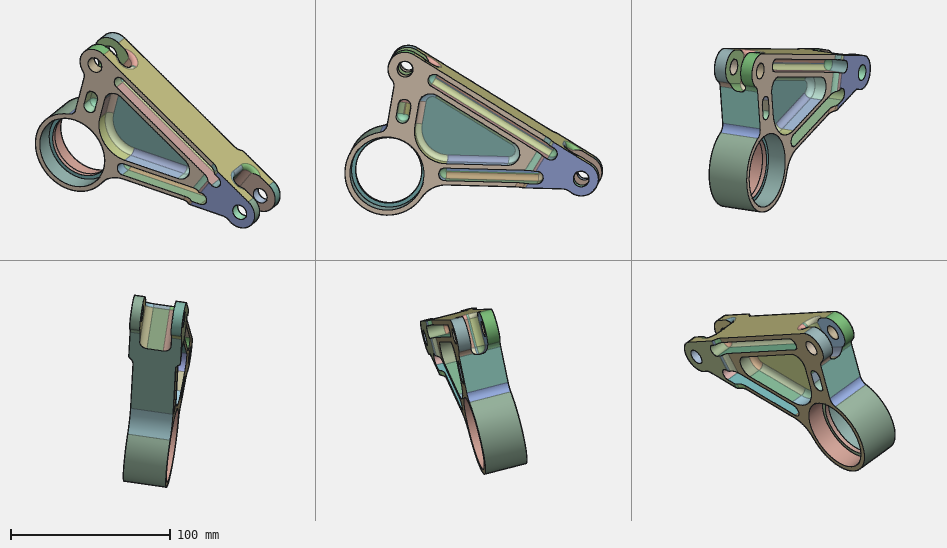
import cadquery as cq
import math

HEADING = 29.0
TILT = 9.0

HUB_RADIUS = 26.5
HUB_THICKNESS = 27.0
BEARING_RADIUS = 23.3
BEARING_DEPTH = 12.0
LIP_RADIUS = 20.9

UPPER_PIN = (10.5, 66.7)
TIP_PIN = (122.6, 0.3)
LUG_RADIUS = 10.8
PIN_RADIUS = 5.0
TIP_THICKNESS = 32.9

STRUT_EDGE = 5.1
BOTTOM_EDGE = 6.3
STRUT_FILLET = 5.4
HUB_BOTTOM_FILLET = 18.5
TIP_FILLET = 7.7

STEP_START = 32.7
STEP_INNER_RADIUS = 5.4
STEP_OUTER_RADIUS = 2.2

RECESS_DEPTH = 11.6
RECESS_FILLET = 3.7
GROOVE_RADIUS = 4.0
POCKET_STRUT_OFFSET = 12.2
POCKET_SLANT_OFFSET = 3.5
POCKET_FLOOR_HEIGHT = 7.3
POCKET_HUB_CORNER = 20.4
POCKET_CORNER = 7.7
STRUT_SLOT_DISTANCE = 41.0
STRUT_SLOT_LENGTH = 15.3
SLANT_GROOVE_START = 19.5
SLANT_GROOVE_END = 105.8
BOTTOM_GROOVE_START = 36.6
BOTTOM_GROOVE_END = 94.7

UPPER_GAP = 10.8
UPPER_GAP_REACH = 16.0
UPPER_GAP_DEPTH = 25.6
UPPER_GAP_FILLET = 4.5
TIP_GAP = 20.0
TIP_GAP_REACH = 18.4
GAP_CORNER = 4.8
GAP_RIM_FILLET = 3.0

CLEAR = 46.3

TOUCH = 0.002
RIM_SAMPLES = [0, 0.3, 0.6]

half_hub = HUB_THICKNESS / 2
half_tip = TIP_THICKNESS / 2
recess_height = half_tip - half_hub + RECESS_DEPTH
strut_length = math.hypot(*UPPER_PIN)
strut_angle = math.degrees(math.atan2(UPPER_PIN[1], UPPER_PIN[0]))
slant_length = math.dist(UPPER_PIN, TIP_PIN)
slant_angle = math.degrees(math.atan2(TIP_PIN[1] - UPPER_PIN[1], TIP_PIN[0] - UPPER_PIN[0]))


def along(origin, angle, distance, offset=0.0):
    """Point at a distance along a direction and an offset to its left."""
    cosine = math.cos(math.radians(angle))
    sine = math.sin(math.radians(angle))
    x = origin[0] + distance * cosine - offset * sine
    z = origin[1] + distance * sine + offset * cosine
    return (x, z)


def strut_point(distance, offset=0.0):
    """Point measured from the hub centre toward the upper pin."""
    return along((0, 0), strut_angle, distance, offset)


def slant_point(distance, offset=0.0):
    """Point measured from the upper pin toward the tip pin."""
    return along(UPPER_PIN, slant_angle, distance, offset)


def meet(p, p_angle, q, q_angle):
    """Crossing point of two lines, each given by a point and a direction."""
    a = math.radians(p_angle)
    b = math.radians(q_angle)
    t = ((q[0] - p[0]) * math.sin(b) - (q[1] - p[1]) * math.cos(b)) / math.sin(b - a)
    return (p[0] + t * math.cos(a), p[1] + t * math.sin(a))


def face_plane(y):
    """Workplane looking square at the bracket, extruding toward -Y."""
    return cq.Workplane("XZ", origin=(0, y, 0))


def disc(center, radius, thickness):
    return face_plane(thickness / 2).center(*center).circle(radius).extrude(thickness)


def fillet_at(body, point, radius):
    """Round the edge across the thickness that passes through an (x, z) point."""
    x, z = point
    edge = cq.selectors.NearestToPointSelector((x, 0, z))
    return body.edges("|Y").edges(edge).fillet(radius)


def make_blank():
    """Full-thickness outline: hub, two lugs and the arms joining them."""
    strut_hub = strut_point(math.sqrt(HUB_RADIUS**2 - STRUT_EDGE**2), STRUT_EDGE)
    strut_lug = strut_point(strut_length - math.sqrt(LUG_RADIUS**2 - STRUT_EDGE**2), STRUT_EDGE)
    hub_bottom = (math.sqrt(HUB_RADIUS**2 - BOTTOM_EDGE**2), -BOTTOM_EDGE)
    tip_drop = BOTTOM_EDGE + TIP_PIN[1]
    tip_bottom = (TIP_PIN[0] - math.sqrt(LUG_RADIUS**2 - tip_drop**2), -BOTTOM_EDGE)
    outline = [
        (0, 0),
        hub_bottom,
        tip_bottom,
        TIP_PIN,
        slant_point(slant_length, LUG_RADIUS),
        slant_point(0, LUG_RADIUS),
        UPPER_PIN,
        strut_lug,
        strut_hub,
    ]
    body = face_plane(half_tip).polyline(outline).close().extrude(TIP_THICKNESS)
    body = body.union(disc((0, 0), HUB_RADIUS, TIP_THICKNESS))
    for pin in (UPPER_PIN, TIP_PIN):
        body = body.union(disc(pin, LUG_RADIUS, TIP_THICKNESS))
    body = fillet_at(body, strut_hub, STRUT_FILLET)
    body = fillet_at(body, strut_lug, STRUT_FILLET)
    body = fillet_at(body, hub_bottom, HUB_BOTTOM_FILLET)
    return fillet_at(body, tip_bottom, TIP_FILLET)


def slant_plane(distance, offset):
    """Workplane parallel to the slanted face: local x along the slant, local y toward +Y."""
    x, z = slant_point(distance, offset)
    direction = along((0, 0), slant_angle, 1)
    normal = along((0, 0), slant_angle, 0, 1)
    return cq.Workplane(
        cq.Plane((x, 0, z), (direction[0], 0, direction[1]), (normal[0], 0, normal[1]))
    )


def step_cutter():
    """Removes the extra tip thickness from the +Y face, ending in an S-shaped step."""
    rise = half_tip - half_hub
    total = STEP_INNER_RADIUS + STEP_OUTER_RADIUS
    sweep = math.acos(1 - rise / total)

    def inner(angle):
        return (
            STEP_INNER_RADIUS * math.sin(angle),
            half_hub + STEP_INNER_RADIUS * (1 - math.cos(angle)),
        )

    def outer(angle):
        return (
            total * math.sin(sweep) - STEP_OUTER_RADIUS * math.sin(angle),
            half_tip - STEP_OUTER_RADIUS * (1 - math.cos(angle)),
        )

    end = outer(0)
    back = -slant_length - CLEAR
    reach_down = 4 * CLEAR
    return (
        slant_plane(slant_length - STEP_START, CLEAR)
        .moveTo(back, half_hub)
        .lineTo(0, half_hub)
        .threePointArc(inner(sweep / 2), inner(sweep))
        .threePointArc(outer(sweep / 2), end)
        .lineTo(end[0], half_tip + CLEAR)
        .lineTo(back, half_tip + CLEAR)
        .close()
        .extrude(-reach_down)
    )


def on_both_faces(cutter):
    return cutter.union(cutter.mirror("XZ"))


def recess_plane():
    """Workplane at the recess floor; a recess cutter rises from it past the -Y face."""
    return face_plane(RECESS_DEPTH - half_hub)


def round_floor(cutter):
    return cutter.faces(">Y").edges().fillet(RECESS_FILLET)


def groove(center, length, angle):
    outline = recess_plane().center(*center).transformed(rotate=(0, 0, angle))
    return round_floor(outline.slot2D(length, 2 * GROOVE_RADIUS).extrude(recess_height))


def groove_between(start, end, angle):
    center = ((start[0] + end[0]) / 2, (start[1] + end[1]) / 2)
    return groove(center, math.dist(start, end) + 2 * GROOVE_RADIUS, angle)


def pocket():
    """Triangular pocket between the strut, the slanted arm and the bottom arm."""
    left = strut_point(0, -POCKET_STRUT_OFFSET)
    top = slant_point(0, -POCKET_SLANT_OFFSET)
    floor = (0, POCKET_FLOOR_HEIGHT)
    hub_corner = meet(left, strut_angle, floor, 0)
    tip_corner = meet(floor, 0, top, slant_angle)
    upper_corner = meet(top, slant_angle, left, strut_angle)
    body = recess_plane().polyline([hub_corner, tip_corner, upper_corner]).close().extrude(recess_height)
    body = fillet_at(body, hub_corner, POCKET_HUB_CORNER)
    for corner in (tip_corner, upper_corner):
        body = fillet_at(body, corner, POCKET_CORNER)
    return round_floor(body)


def cut_recesses(body):
    slant_mid = (LUG_RADIUS - POCKET_SLANT_OFFSET) / 2
    bottom_mid = (POCKET_FLOOR_HEIGHT - BOTTOM_EDGE) / 2
    strut_mid = (STRUT_EDGE - POCKET_STRUT_OFFSET) / 2
    slant_start = slant_point(SLANT_GROOVE_START, slant_mid)
    slant_end = slant_point(SLANT_GROOVE_END, slant_mid)
    cutters = [
        pocket(),
        groove_between(slant_start, slant_end, slant_angle),
        groove_between((BOTTOM_GROOVE_START, bottom_mid), (BOTTOM_GROOVE_END, bottom_mid), 0),
        groove(strut_point(STRUT_SLOT_DISTANCE, strut_mid), STRUT_SLOT_LENGTH, strut_angle),
    ]
    for cutter in cutters:
        body = body.cut(on_both_faces(cutter))
    return body


def fillet_rim(body, frame):
    """Rounds the edge of a gap end where it opens through the slanted face."""

    def is_rim(edge):
        points = [frame.toLocalCoords(p) for p in edge.positions(RIM_SAMPLES)]
        in_face = all(abs(p.z) < TOUCH for p in points)
        around_end = all(abs(p.x) < GAP_CORNER + TOUCH and abs(p.y) < half_hub - TOUCH for p in points)
        return in_face and around_end

    return body.edges().filter(is_rim).fillet(GAP_RIM_FILLET)


def cut_gap(body, center, outward, width, depth, floor_fillet=0.0):
    """Cuts a clevis gap: its end first, with a rounded rim, then the run out through the lugs.

    center is the distance along the slant to the corner centres of the gap end, and
    outward is +1 or -1 for the way the gap opens.
    """
    end = slant_plane(center, LUG_RADIUS)
    body = body.cut(end.slot2D(width, 2 * GAP_CORNER, 90).extrude(floor_fillet - depth))
    body = fillet_rim(body, end.plane)

    run = CLEAR + GAP_CORNER
    middle = center + outward * (run / 2 - GAP_CORNER)
    gap = slant_plane(middle, LUG_RADIUS - depth).rect(run, width).extrude(depth + CLEAR)
    gap = gap.edges(cq.selectors.ParallelDirSelector(end.plane.zDir)).fillet(GAP_CORNER)
    if floor_fillet:
        floor = cq.selectors.DirectionMinMaxSelector(end.plane.zDir, False)
        gap = gap.faces(floor).edges().fillet(floor_fillet)
    return body.cut(gap)


def cut_gaps(body):
    upper_center = UPPER_GAP_REACH - GAP_CORNER
    tip_center = slant_length - TIP_GAP_REACH + GAP_CORNER
    body = cut_gap(body, upper_center, -1, UPPER_GAP, UPPER_GAP_DEPTH, UPPER_GAP_FILLET)
    return cut_gap(body, tip_center, 1, TIP_GAP, 2 * CLEAR)


def drill(body):
    """Pin holes, plus the hub bore with a bearing seat on each side of a central lip."""
    for pin in (UPPER_PIN, TIP_PIN):
        body = body.cut(disc(pin, PIN_RADIUS, TIP_THICKNESS))
    body = body.cut(disc((0, 0), LIP_RADIUS, HUB_THICKNESS))
    lip = HUB_THICKNESS - 2 * BEARING_DEPTH
    bearing = face_plane(-lip / 2).circle(BEARING_RADIUS).extrude(BEARING_DEPTH)
    return body.cut(on_both_faces(bearing))


bracket = make_blank().cut(on_both_faces(step_cutter()))
bracket = cut_gaps(bracket)
bracket = cut_recesses(bracket)
bracket = drill(bracket)

result = bracket.rotate((0, 0, 0), (1, 0, 0), -TILT).rotate((0, 0, 0), (0, 0, 1), HEADING)